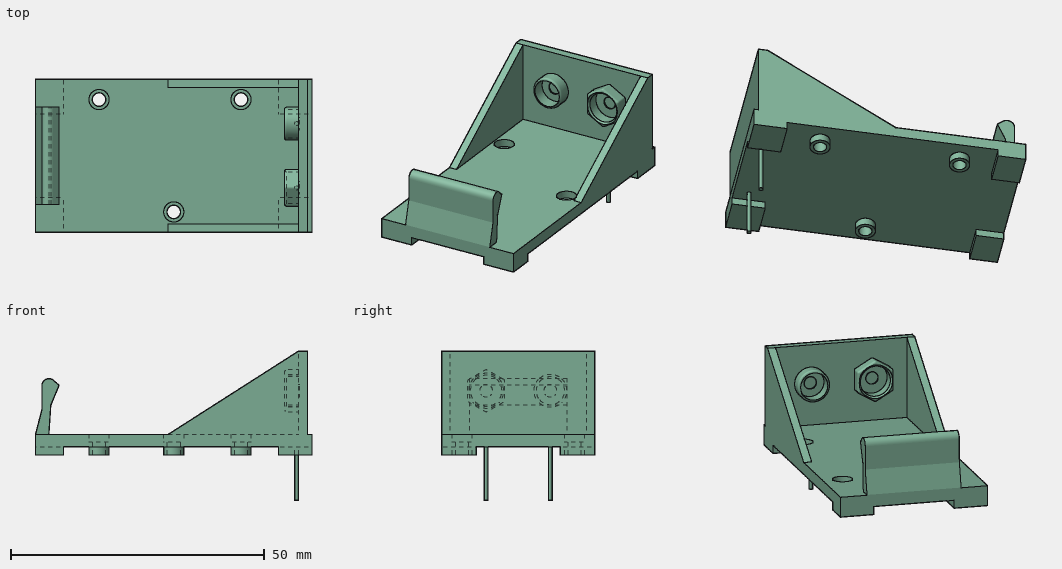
import cadquery as cq
import math


length = 54.5
width = 30.2
base_top = 4.1
foot_height = 1.65
foot_width = 6.85
clip_foot_length = 5.55
wall_foot_length = 6.65

wall_inner_x = 51.8
wall_outer_x = 53.65
wall_top = 20.5
gusset_thickness = 1.65
gusset_start_x = 26.1

clip_width = 19.3
clip_root_x = 2.65
clip_bend_height = 4.85
clip_back_x = 1.25
clip_head_radius = 1.4
clip_head_height = 9.6
clip_tip = (4.7, 9.7)
clip_neck = (3.05, 5.8)
head_end_angle = 60.0

screw_places = [(12.55, 11.05), (40.5, 11.05), (27.25, -11.05)]
screw_hole_diameter = 2.6
mount_diameter = 4.0
counterbore_depth = 1.5

terminal_y = 6.3
terminal_z = 12.7
terminal_height = 2.7
ring_diameter = 6.5
ring_bore = 5.55
ring_edge_radius = 0.45
hex_across_flats = 7.3
hex_bore = 6.15
hex_edge_radius = 0.5
hex_mouth_diameter = 6.9

socket_diameter = 2.5
socket_depth = 0.25

pin_diameter = 0.8
pin_x = 51.45
pin_length = 8.9


def make_base():
    plate_thickness = base_top - foot_height
    base = cq.Workplane("XY").box(length, width, plate_thickness, centered=(False, True, False))
    base = base.translate((0, 0, foot_height))
    foot_y = (width - foot_width) / 2
    feet = [(clip_foot_length / 2, clip_foot_length), (length - wall_foot_length / 2, wall_foot_length)]
    for foot_x, foot_length in feet:
        for side in (-1, 1):
            foot = cq.Workplane("XY").box(foot_length, foot_width, base_top, centered=(True, True, False))
            base = base.union(foot.translate((foot_x, side * foot_y, 0)))
    return base


def make_wall_and_gussets():
    wall = (
        cq.Workplane("XY")
        .box(wall_outer_x - wall_inner_x, width, wall_top - base_top, centered=(False, True, False))
        .translate((wall_inner_x, 0, base_top))
    )
    for outer_y in (width / 2, -width / 2 + gusset_thickness):
        gusset = (
            cq.Workplane("XZ", origin=(0, outer_y, 0))
            .moveTo(gusset_start_x, base_top)
            .lineTo(wall_outer_x, base_top)
            .lineTo(wall_outer_x, wall_top)
            .lineTo(wall_inner_x, wall_top)
            .close()
            .extrude(gusset_thickness)
        )
        wall = wall.union(gusset)
    return wall


def make_clip():
    head_x = clip_back_x + clip_head_radius
    end_angle = math.radians(head_end_angle)
    head_end = (
        head_x + clip_head_radius * math.cos(end_angle),
        clip_head_height + clip_head_radius * math.sin(end_angle),
    )
    return (
        cq.Workplane("XZ", origin=(0, clip_width / 2, base_top))
        .lineTo(clip_back_x, clip_bend_height)
        .lineTo(clip_back_x, clip_head_height)
        .threePointArc((head_x, clip_head_height + clip_head_radius), head_end)
        .lineTo(*clip_tip)
        .lineTo(*clip_neck)
        .lineTo(clip_root_x, 0)
        .close()
        .extrude(clip_width)
    )


def terminal_plane(y):
    return cq.Workplane(cq.Plane((wall_inner_x, y, terminal_z), xDir=(0, -1, 0), normal=(-1, 0, 0)))


def make_ring_terminal():
    ring = terminal_plane(terminal_y).circle(ring_diameter / 2).extrude(terminal_height)
    ring = ring.faces("<X").edges().fillet(ring_edge_radius)
    return ring.cut(terminal_plane(terminal_y).circle(ring_bore / 2).extrude(terminal_height))


def make_hex_terminal():
    across_corners = hex_across_flats / math.cos(math.pi / 6)
    plane = terminal_plane(-terminal_y)
    hexagon = plane.transformed(rotate=(0, 0, 30)).polygon(6, across_corners).extrude(terminal_height)
    hexagon = hexagon.edges("|X").fillet(hex_edge_radius)
    hexagon = hexagon.faces("<X").edges().fillet(hex_edge_radius)
    bore = plane.circle(hex_bore / 2).extrude(terminal_height)
    mouth_depth = (hex_mouth_diameter - hex_bore) / 2
    mouth = (
        plane.workplane(offset=terminal_height - mouth_depth)
        .circle(hex_bore / 2)
        .workplane(offset=mouth_depth)
        .circle(hex_mouth_diameter / 2)
        .loft()
    )
    return hexagon.cut(bore).cut(mouth)


def add_screw_mounts(body):
    places = cq.Workplane("XY").pushPoints(screw_places)
    bosses = places.circle(mount_diameter / 2).extrude(base_top)
    holes = places.circle(screw_hole_diameter / 2).extrude(base_top)
    counterbores = (
        cq.Workplane("XY", origin=(0, 0, base_top))
        .pushPoints(screw_places)
        .circle(mount_diameter / 2)
        .extrude(-counterbore_depth)
    )
    return body.union(bosses).cut(holes).cut(counterbores)


def cut_terminal_sockets(body):
    for y in (terminal_y, -terminal_y):
        body = body.cut(terminal_plane(y).circle(socket_diameter / 2).extrude(-socket_depth))
    return body


def make_pins():
    return (
        cq.Workplane("XY", origin=(0, 0, -pin_length))
        .pushPoints([(pin_x, terminal_y), (pin_x, -terminal_y)])
        .circle(pin_diameter / 2)
        .extrude(pin_length + base_top)
    )


holder = make_base().union(make_wall_and_gussets()).union(make_clip())
holder = add_screw_mounts(holder)
holder = holder.union(make_ring_terminal()).union(make_hex_terminal())
holder = cut_terminal_sockets(holder)
result = holder.union(make_pins())